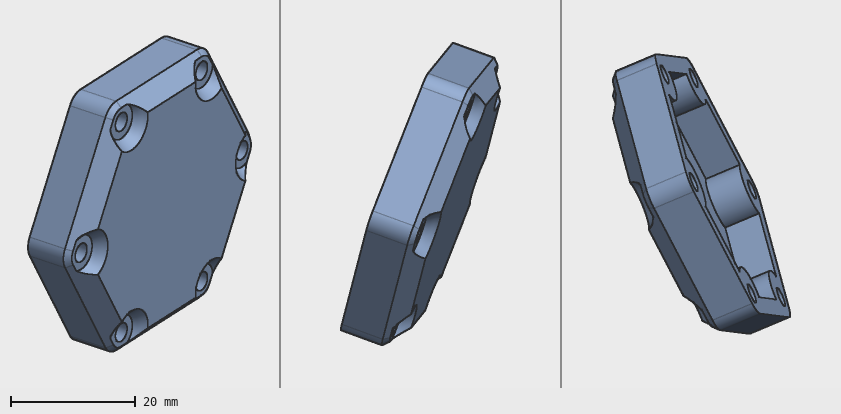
import cadquery as cq
import math

across_flats = 45.0
vertex_span = 50.9
height = 10.0
chamfer = 3.0
wall = 2.95
pocket_depth = 6.0
screw_diameter = 3.2
boss_radius = 4.6
bolt_circle = 21.95
recess_floor_radius = 3.0
recess_rim_radius = 4.5
recess_floor = 8.0

flat_ratio = math.cos(math.radians(30))
corner_radius = (across_flats / flat_ratio - vertex_span) / 2 / (1 / flat_ratio - 1)


def hexagon_prism(flats, length):
    """Hexagonal prism along +X from the open face, with vertices on the Y axis."""
    return cq.Workplane("YZ").polygon(6, flats / flat_ratio).extrude(length)


def screw_cylinders(radius, start, end, taper=0):
    """Six cylinders, or cones widening at a negative taper, on the screw axes from start to end in X."""
    return (
        cq.Workplane("YZ", origin=(start, 0, 0))
        .polarArray(bolt_circle, 0, 360, 6)
        .circle(radius)
        .extrude(end - start, taper=taper)
    )


body = hexagon_prism(across_flats, height).edges("|X").fillet(corner_radius)
body = body.faces(">X").edges().chamfer(chamfer)

pillars = screw_cylinders(boss_radius, 0, pocket_depth)
pocket = hexagon_prism(across_flats - 2 * wall, pocket_depth).cut(pillars)
body = body.cut(pocket)

recess_slope = (recess_rim_radius - recess_floor_radius) / (height - recess_floor)
recess_taper = -math.degrees(math.atan(recess_slope))
recesses = screw_cylinders(recess_floor_radius, recess_floor, height, recess_taper)
body = body.cut(recesses)
result = body.cut(screw_cylinders(screw_diameter / 2, 0, height))